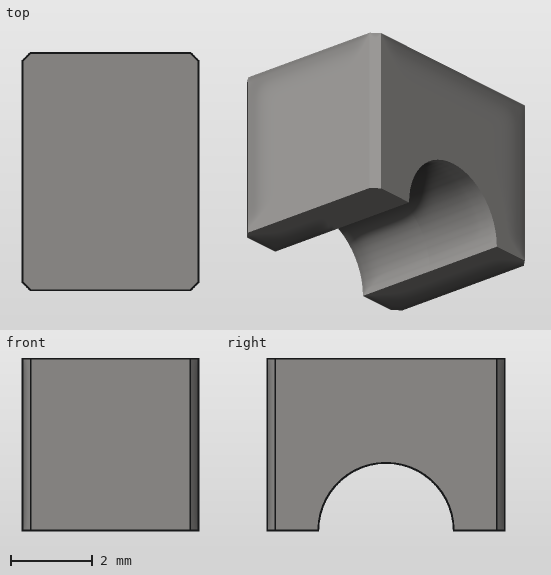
import cadquery as cq

width = 4.3
length = 5.8
height = 4.2

corner_chamfer = 0.2
channel_radius = 1.65


def chamfered_block():
    """Block centred on the Z axis, standing on Z = 0, with its vertical edges chamfered."""
    block = cq.Workplane("XY").box(width, length, height, centered=(True, True, False))
    return block.edges("|Z").chamfer(corner_chamfer)


def round_channel():
    """Cylinder along X, centred on the bottom face, that cuts the half-round channel."""
    return cq.Workplane("YZ").circle(channel_radius).extrude(width / 2, both=True)


result = chamfered_block().cut(round_channel())